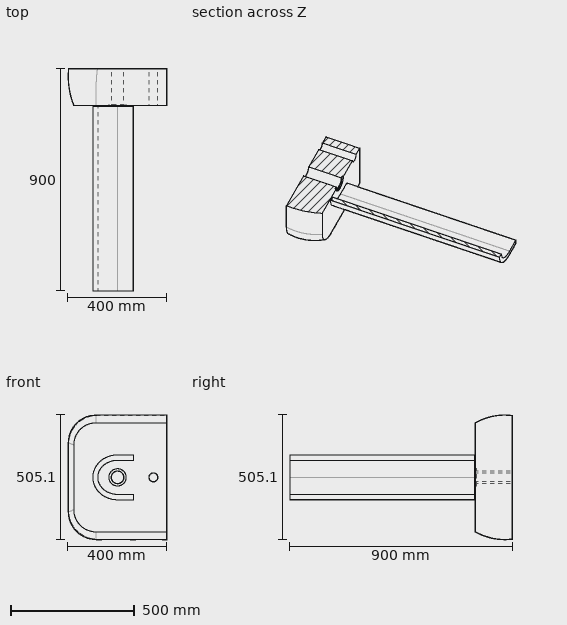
import cadquery as cq
import math

block_right = 200.0
block_left = -198.66
block_half_height = 250.7
block_front_inset_x = 21.5
block_front_inset_z = 30.0
block_mid_depth = 60.0
block_depth = 150.0
corner_back = 117.0
corner_mid = 112.0
corner_front = 90.0

main_hole_dia = 50.0
main_recess_dia = 70.0
main_recess_depth = 5.0
side_hole_dia = 35.0
side_hole_x = 145.0

standoff = 2.5
total_depth = 900.0
channel_left = -100.0
channel_right = 63.5
channel_half_height = 91.0
channel_wall_side = 20.0
channel_wall_flange = 22.0


def block_section(depth, left, half_height, corner):
    """Outline at Y = -depth with its two -X corners rounded."""
    bend = corner * (1 - math.sqrt(0.5))
    return (
        cq.Workplane("XZ", origin=(0, -depth, 0))
        .moveTo(block_right, half_height)
        .lineTo(left + corner, half_height)
        .threePointArc((left + bend, half_height - bend), (left, half_height - corner))
        .lineTo(left, corner - half_height)
        .threePointArc((left + bend, bend - half_height), (left + corner, -half_height))
        .lineTo(block_right, -half_height)
        .close()
        .val()
    )


def block_hole(x, diameter, start_depth):
    """Cutter running from Y = -start_depth out through the front face."""
    return (
        cq.Workplane("XZ", origin=(x, -start_depth, 0))
        .circle(diameter / 2)
        .extrude(block_depth - start_depth)
    )


def make_block():
    front_left = block_left + block_front_inset_x
    front_half_height = block_half_height - block_front_inset_z
    sections = [
        block_section(0, block_left, block_half_height, corner_back),
        block_section(block_mid_depth, block_left, block_half_height, corner_mid),
        block_section(block_depth, front_left, front_half_height, corner_front),
    ]
    body = cq.Workplane(cq.Solid.makeLoft(sections))
    body = body.cut(block_hole(0, main_hole_dia, 0))
    body = body.cut(block_hole(0, main_recess_dia, block_depth - main_recess_depth))
    return body.cut(block_hole(side_hole_x, side_hole_dia, 0))


def channel_core(left, half_height):
    """Solid D-shaped bar: straight flanges on +X, two quarter-ellipse faces reaching `left` on -X."""
    return (
        cq.Workplane("XZ", origin=(0, -block_depth - standoff, 0))
        .moveTo(channel_right, half_height)
        .lineTo(0, half_height)
        .ellipseArc(-left, half_height, 90, 180)
        .ellipseArc(-left, half_height, 180, 270)
        .lineTo(channel_right, -half_height)
        .close()
        .extrude(total_depth - block_depth - standoff)
    )


def make_channel():
    inner_left = channel_left + channel_wall_side
    inner_half_height = channel_half_height - channel_wall_flange
    outer = channel_core(channel_left, channel_half_height)
    return outer.cut(channel_core(inner_left, inner_half_height), clean=False)


block = make_block()
channel = make_channel()
result = cq.Compound.makeCompound([block.val(), channel.val()])